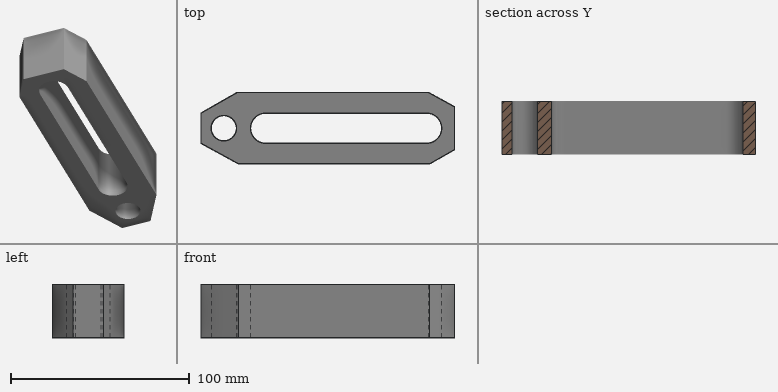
import cadquery as cq

length = 142.0
width = 40.0
height = 30.0

left_cut_back = 20.2
left_cut_front = 21.0
left_cut_depth = 11.5
right_cut_back = 14.5
right_cut_front = 13.9
right_cut_depth = 8.0

hole_diameter = 14.0
hole_from_left = 12.8

slot_length = 106.9
slot_width = 16.8
slot_from_right = 7.2

left = -length / 2
right = length / 2
front = -width / 2
back = width / 2

body = (
    cq.Workplane("XY")
    .moveTo(left, front + left_cut_depth)
    .lineTo(left + left_cut_front, front)
    .lineTo(right - right_cut_front, front)
    .lineTo(right, front + right_cut_depth)
    .lineTo(right, back - right_cut_depth)
    .lineTo(right - right_cut_back, back)
    .lineTo(left + left_cut_back, back)
    .lineTo(left, back - left_cut_depth)
    .close()
    .extrude(height)
)

hole = (
    cq.Workplane("XY")
    .center(left + hole_from_left, 0)
    .circle(hole_diameter / 2)
    .extrude(height)
)
slot = (
    cq.Workplane("XY")
    .center(right - slot_from_right - slot_length / 2, 0)
    .slot2D(slot_length, slot_width)
    .extrude(height)
)

result = body.cut(hole).cut(slot)